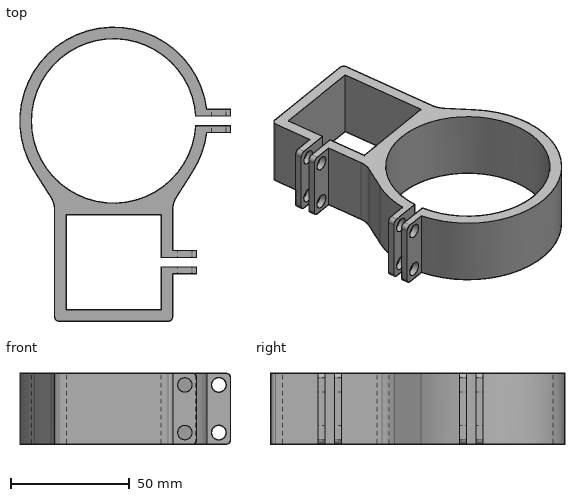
import cadquery as cq
import math

height = 30.0
wall = 5.0
bore_radius = 34.6
cavity_side = 39.9
box_corner_radius = 2.0
neck_fillet_radius = 9.9

slot_width = 4.0
ear_thickness = 3.0
ear_length = 10.0
ear_corner_radius = 2.0
hole_diameter = 6.1
hole_edge_distance = 5.0

ring_radius = bore_radius + wall
box_side = cavity_side + 2 * wall
box_half = box_side / 2
box_center_y = -(bore_radius + box_half)
box_top_y = -bore_radius
ear_pair_width = slot_width + 2 * ear_thickness
ring_ear_root = math.sqrt(ring_radius**2 - (ear_pair_width / 2) ** 2)


def make_box(x_size, y_size, center_x, center_y):
    """Full-height block standing on the XY plane."""
    return (
        cq.Workplane("XY")
        .center(center_x, center_y)
        .rect(x_size, y_size)
        .extrude(height)
    )


def make_body():
    """Solid ring disc and box, joined by flanks tangent to the disc."""
    corner_distance = math.hypot(box_half, box_top_y)
    corner_angle = math.atan2(box_top_y, box_half)
    tangent_angle = corner_angle + math.acos(ring_radius / corner_distance)
    tangent_x = ring_radius * math.cos(tangent_angle)
    tangent_y = ring_radius * math.sin(tangent_angle)
    box_bottom_y = box_center_y - box_half

    body = (
        cq.Workplane("XY")
        .moveTo(tangent_x, tangent_y)
        .threePointArc((0, ring_radius), (-tangent_x, tangent_y))
        .lineTo(-box_half, box_top_y)
        .lineTo(-box_half, box_bottom_y)
        .lineTo(box_half, box_bottom_y)
        .lineTo(box_half, box_top_y)
        .close()
        .extrude(height)
    )
    body = body.edges("|Z and <Y").fillet(box_corner_radius)

    neck_edges = cq.selectors.BoxSelector(
        (-box_half - wall, box_top_y - wall, 0),
        (box_half + wall, box_top_y + wall, height),
    )
    return body.edges("|Z").edges(neck_edges).fillet(neck_fillet_radius)


def make_ears(root_x, center_y):
    """Drilled clamp block reaching +X from inside the wall; the slot later splits it in two."""
    tip_x = root_x + ear_length
    length = ear_length + wall / 2
    ears = make_box(length, ear_pair_width, tip_x - length / 2, center_y)
    ears = ears.edges("|Y and >X").fillet(ear_corner_radius)

    hole_z = [hole_edge_distance, height - hole_edge_distance]
    holes = (
        cq.Workplane("XZ", origin=(0, center_y, 0))
        .pushPoints([(tip_x - hole_edge_distance, z) for z in hole_z])
        .circle(hole_diameter / 2)
        .extrude(ear_pair_width, both=True)
    )
    return ears.cut(holes)


def make_slot(root_x, center_y):
    """Gap that opens the wall and separates the two ears."""
    tip_x = root_x + ear_length
    start_x = root_x - 2 * wall
    return make_box(tip_x - start_x, slot_width, (tip_x + start_x) / 2, center_y)


clamps = [(ring_ear_root, 0), (box_half, box_center_y)]

result = make_body()
for root_x, center_y in clamps:
    result = result.union(make_ears(root_x, center_y))

bore = cq.Workplane("XY").circle(bore_radius).extrude(height)
cavity = make_box(cavity_side, cavity_side, 0, box_center_y)
result = result.cut(bore)
result = result.cut(cavity)
for root_x, center_y in clamps:
    result = result.cut(make_slot(root_x, center_y))